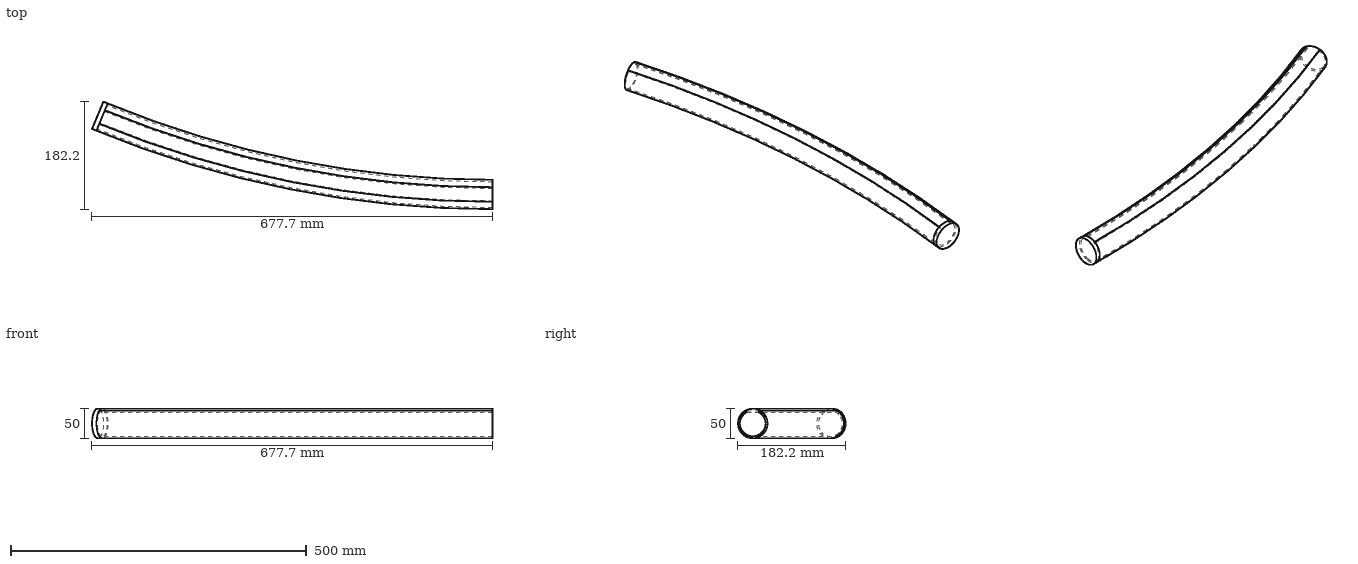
import cadquery as cq
import math

tube_radius = 25.0
sleeve_wall = 3.5
bend_radius = 1731.0
bend_angle = 22.7
cap_length = 8.0
slot_angle = 60.0
strip_angle = 58.0
strip_recess = 0.15
near_end_x = 678.0

strip_radius = tube_radius - strip_recess
core_radius = tube_radius - sleeve_wall
cap_angle = math.degrees(cap_length / bend_radius)
sleeve_angle = bend_angle - cap_angle


def section_point(radius, angle_from_top):
    """Point of the tube's cross-section, by radius and angle in degrees from straight up."""
    angle = math.radians(angle_from_top)
    return (radius * math.sin(angle), radius * math.cos(angle))


def bend(section, start_angle, swept_angle):
    """Sweep a section round the vertical bend axis, beginning start_angle beyond the near end, towards -X."""
    swept = section.revolve(swept_angle, (bend_radius, 0, 0), (bend_radius, -1, 0))
    at_start = swept.rotate((0, bend_radius, 0), (0, bend_radius, 1), -start_angle)
    return at_start.translate((near_end_x, 0, 0))


def keyed_section(top_radius, bottom_radius, half_angle):
    """Round section whose top sector, half_angle to each side, has its own radius."""
    return (
        cq.Workplane("YZ")
        .moveTo(*section_point(top_radius, -half_angle))
        .threePointArc((0, top_radius), section_point(top_radius, half_angle))
        .lineTo(*section_point(bottom_radius, half_angle))
        .threePointArc((0, -bottom_radius), section_point(bottom_radius, -half_angle))
        .close()
    )


def slotted_ring_section(outer_radius, inner_radius, half_angle):
    """C-shaped ring section, open at the top over half_angle to each side."""
    return (
        cq.Workplane("YZ")
        .moveTo(*section_point(outer_radius, half_angle))
        .threePointArc((0, -outer_radius), section_point(outer_radius, -half_angle))
        .lineTo(*section_point(inner_radius, -half_angle))
        .threePointArc((0, -inner_radius), section_point(inner_radius, half_angle))
        .close()
    )


def make_core():
    """Inner rod with a raised strip along its top and a full-diameter cap at the far end."""
    rod = bend(keyed_section(strip_radius, core_radius, strip_angle / 2), 0, sleeve_angle)
    cap = bend(cq.Workplane("YZ").circle(tube_radius), sleeve_angle, cap_angle)
    return rod.union(cap).solids()


def make_sleeve():
    """C-shaped sleeve round the core up to the cap, open along the top."""
    return bend(slotted_ring_section(tube_radius, core_radius, slot_angle / 2), 0, sleeve_angle).solids()


core = make_core()
sleeve = make_sleeve()

result = cq.Compound.makeCompound([core.val(), sleeve.val()])